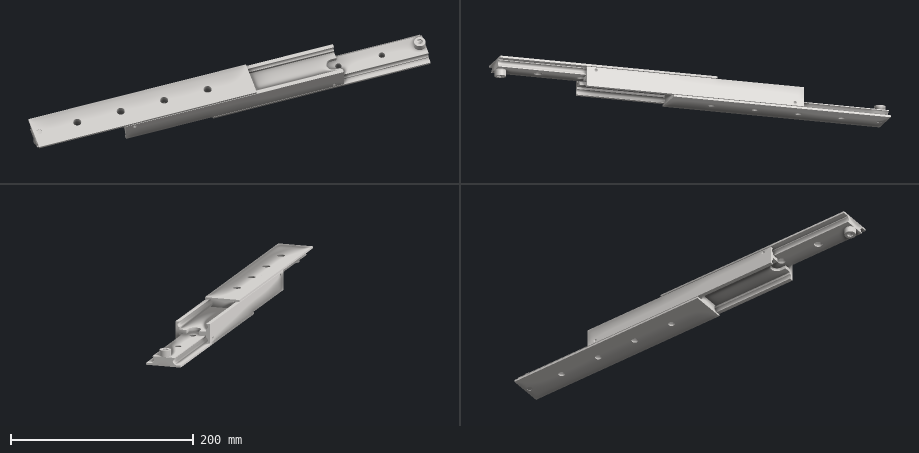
import cadquery as cq

TOTAL_LENGTH = 450.0
WIDTH = 40.0
HEIGHT = 28.0
MEMBER_LENGTH = 250.0
END_Y = TOTAL_LENGTH / 2
SIDE_X = WIDTH / 2
TOP_Z = HEIGHT / 2

MIDDLE_HEIGHT = 22.0
WALL_THICKNESS = 4.5
WEB_THICKNESS = 4.0
NOTCH_RADIUS = 7.0
NOTCH_LENGTH = 13.5

RAIL_BODY_WIDTH = 25.5
FLANGE_INNER_Z = 11.5
RAIL_INNER_Z = 3.5

WALL_INNER_X = SIDE_X - WALL_THICKNESS
TRACK_DIAMETER = 6.8
TRACK_X = (WALL_INNER_X + RAIL_BODY_WIDTH / 2) / 2
TRACK_Z = 7.5

PIN_DIAMETER = 4.0
PIN_END_DISTANCE = 10.5
PIN_RECESS_DEPTH = 2.0

HOLE_COUNT = 4
HOLE_PITCH = 50.0
UPPER_HOLE_DIAMETER = 9.0
LOWER_HOLE_DIAMETER = 7.0

BUTTON_DIAMETER = 12.5
BUTTON_HEIGHT = 7.0
BUTTON_Y = -END_Y + BUTTON_DIAMETER / 2
SOCKET_WIDTH = 6.5
SOCKET_DEPTH = 2.0
SOCKET_CONE_DEPTH = 2.0
DIMPLE_DIAMETER = 6.5
DIMPLE_DEPTH = 0.5


def box(width, length, y_start, z_bottom, z_top):
    """A box centred on X that starts at y_start and fills z_bottom to z_top."""
    return (
        cq.Workplane("XY", origin=(0, y_start + length / 2, z_bottom))
        .box(width, length, z_top - z_bottom, centered=(True, True, False))
    )


def ball_tracks(y_start, z_levels):
    """Round bars along Y that cut the ball tracks on both sides."""
    centres = [(x, z) for x in (-TRACK_X, TRACK_X) for z in z_levels]
    return (
        cq.Workplane("XZ", origin=(0, y_start, 0))
        .pushPoints(centres)
        .circle(TRACK_DIAMETER / 2)
        .extrude(-MEMBER_LENGTH)
    )


def pin_along_x(x_start, x_end, y, z):
    """A stop pin parallel to X."""
    return (
        cq.Workplane("YZ", origin=(x_start, y, z))
        .circle(PIN_DIAMETER / 2)
        .extrude(x_end - x_start)
    )


def add_wall_pin(middle, end, side):
    """Close the track in one wall with a pin that has a conical recess in its outer end."""
    y = end * (MEMBER_LENGTH / 2 - PIN_END_DISTANCE)
    z = -end * TRACK_Z
    pin = pin_along_x(side * WALL_INNER_X, side * SIDE_X, y, z)
    recess = cq.Workplane(
        cq.Solid.makeCone(
            PIN_DIAMETER / 2, 0, PIN_RECESS_DEPTH, cq.Vector(side * SIDE_X, y, z), cq.Vector(-side, 0, 0)
        )
    )
    return middle.union(pin).cut(recess)


def make_middle():
    """The H-shaped member between the two rails."""
    start = -MEMBER_LENGTH / 2
    middle = box(WIDTH, MEMBER_LENGTH, start, -MIDDLE_HEIGHT / 2, MIDDLE_HEIGHT / 2)
    for z_bottom, z_top in (
        (WEB_THICKNESS / 2, MIDDLE_HEIGHT / 2),
        (-MIDDLE_HEIGHT / 2, -WEB_THICKNESS / 2),
    ):
        middle = middle.cut(box(2 * WALL_INNER_X, MEMBER_LENGTH, start, z_bottom, z_top))
    middle = middle.cut(ball_tracks(start, (-TRACK_Z, TRACK_Z)))

    for end in (-1, 1):
        notch = (
            cq.Workplane("XY", origin=(0, end * MEMBER_LENGTH / 2, 0))
            .slot2D(2 * NOTCH_LENGTH, 2 * NOTCH_RADIUS, 90)
            .extrude(WEB_THICKNESS / 2, both=True)
        )
        middle = middle.cut(notch)
        for side in (-1, 1):
            middle = add_wall_pin(middle, end, side)
    return middle


def make_rail(hole_diameter):
    """The upper rail, drawn out toward -Y."""
    flange = box(WIDTH, MEMBER_LENGTH, -END_Y, FLANGE_INNER_Z, TOP_Z)
    body = box(RAIL_BODY_WIDTH, MEMBER_LENGTH, -END_Y, RAIL_INNER_Z, FLANGE_INNER_Z)
    body = body.cut(ball_tracks(-END_Y, (TRACK_Z,)))

    pin_y = -END_Y + MEMBER_LENGTH - PIN_END_DISTANCE
    pin = pin_along_x(-RAIL_BODY_WIDTH / 2, RAIL_BODY_WIDTH / 2, pin_y, TRACK_Z)
    rail = flange.union(body).union(pin)

    holes = (
        cq.Workplane("XY")
        .pushPoints([(0, -END_Y + HOLE_PITCH * (i + 1)) for i in range(HOLE_COUNT)])
        .circle(hole_diameter / 2)
        .extrude(TOP_Z)
    )
    return rail.cut(holes).union(make_button()).cut(make_dimple())


def make_button():
    """The stop button below the rail, with a cone-bottomed hexagon socket in its free face."""
    free_z = RAIL_INNER_Z - BUTTON_HEIGHT
    button = (
        cq.Workplane("XY", origin=(0, BUTTON_Y, free_z))
        .circle(BUTTON_DIAMETER / 2)
        .extrude(BUTTON_HEIGHT)
    )
    socket = (
        cq.Workplane("XY", origin=(0, BUTTON_Y, free_z))
        .polygon(6, SOCKET_WIDTH, circumscribed=True)
        .extrude(SOCKET_DEPTH)
    )
    cone = cq.Workplane(
        cq.Solid.makeCone(
            SOCKET_WIDTH / 2, 0, SOCKET_CONE_DEPTH, cq.Vector(0, BUTTON_Y, free_z + SOCKET_DEPTH)
        )
    )
    return button.cut(socket).cut(cone)


def make_dimple():
    """The shallow round recess in the flange above the stop button."""
    return (
        cq.Workplane("XY", origin=(0, BUTTON_Y, TOP_Z - DIMPLE_DEPTH))
        .circle(DIMPLE_DIAMETER / 2)
        .extrude(DIMPLE_DEPTH)
    )


middle = make_middle()
upper_rail = make_rail(UPPER_HOLE_DIAMETER)

lower_rail = make_rail(LOWER_HOLE_DIAMETER).rotate((0, 0, 0), (1, 0, 0), 180)

result = cq.Compound.makeCompound([middle.val(), upper_rail.val(), lower_rail.val()])